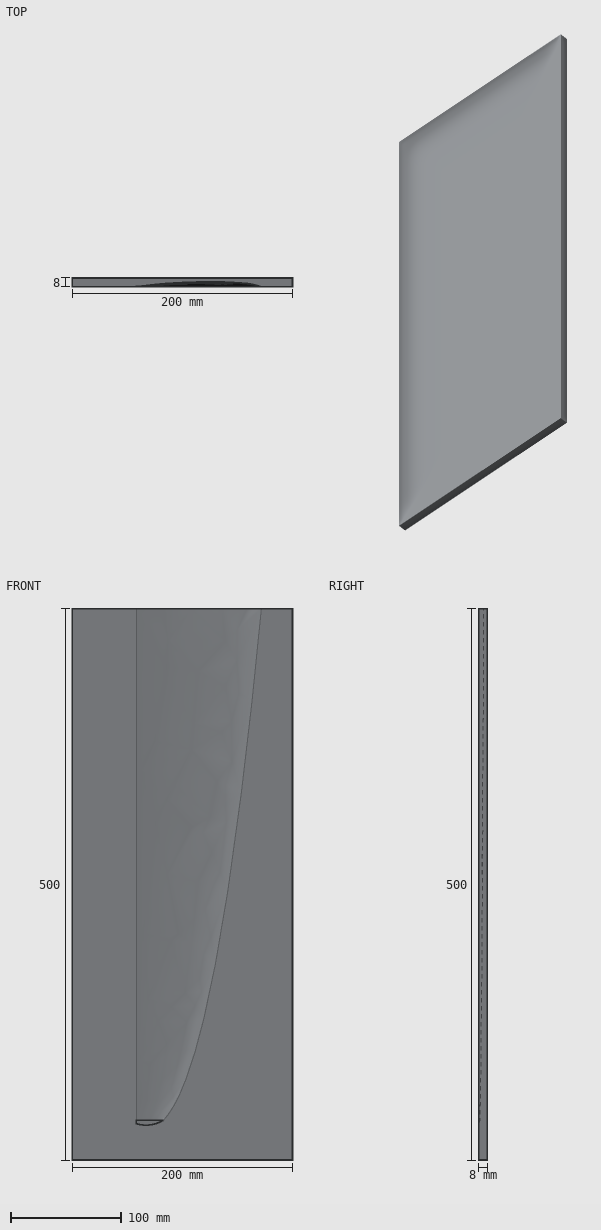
import cadquery as cq

PLATE_WIDTH = 200.0
PLATE_THICKNESS = 8.0
PLATE_HEIGHT = 500.0

STRAIGHT_EDGE_X = 58.2
TIP_Z = 36.0
ROOT_CHORD = 113.2
ROOT_DEPTH = 4.5
CHORD_ORIGIN_Z = 25.5
CHORD_POWER = 0.405

SECTION_SHAPE = [(0.17, 0.52), (0.52, 1.0), (0.8, 0.87), (0.93, 0.5)]

STATION_COUNT = 12
STATION_SPACING_POWER = 1.5

FRONT_OVERSHOOT = 1.0
TOP_OVERSHOOT = 5.0

CAP_CORNER_Z = 33.0
CAP_LOWEST_Z = 31.7
CAP_LOWEST_FRACTION = 0.27
CAP_DEPTH_FRACTION = 0.5


def chord_at(height):
    root_rise = PLATE_HEIGHT - CHORD_ORIGIN_Z
    return ROOT_CHORD * ((height - CHORD_ORIGIN_Z) / root_rise) ** CHORD_POWER


def depth_at(height):
    """Maximum depth of the recess, in proportion to its chord."""
    return ROOT_DEPTH * chord_at(height) / ROOT_CHORD


def station_heights():
    span = PLATE_HEIGHT + TOP_OVERSHOOT - TIP_Z
    steps = STATION_COUNT - 1
    return [TIP_Z + span * (step / steps) ** STATION_SPACING_POWER for step in range(STATION_COUNT)]


def make_plate():
    return cq.Workplane("XY").box(PLATE_WIDTH, PLATE_THICKNESS, PLATE_HEIGHT, centered=False)


def section_wire(height):
    """Closed section of the recess: a curved floor closed by three lines ahead of the front face."""
    chord = chord_at(height)
    depth = depth_at(height)
    start = cq.Vector(STRAIGHT_EDGE_X, 0, height)
    end = cq.Vector(STRAIGHT_EDGE_X + chord, 0, height)
    floor = [
        cq.Vector(STRAIGHT_EDGE_X + along * chord, inward * depth, height)
        for along, inward in SECTION_SHAPE
    ]
    curve = cq.Edge.makeSpline([start, *floor, end])
    outward = cq.Vector(0, -FRONT_OVERSHOOT, 0)
    corners = [end, end + outward, start + outward, start]
    lines = [cq.Edge.makeLine(first, second) for first, second in zip(corners, corners[1:])]
    return cq.Wire.assembleEdges([curve, *lines])


def make_blade_recess():
    wires = [section_wire(height) for height in station_heights()]
    return cq.Workplane(obj=cq.Solid.makeLoft(wires))


def make_tip_cap():
    """Flat-floored pocket with a rounded lower edge that closes the recess at its tip."""
    tip_chord = chord_at(TIP_Z)
    return (
        cq.Workplane("XZ")
        .moveTo(STRAIGHT_EDGE_X, TIP_Z)
        .lineTo(STRAIGHT_EDGE_X, CAP_CORNER_Z)
        .threePointArc(
            (STRAIGHT_EDGE_X + CAP_LOWEST_FRACTION * tip_chord, CAP_LOWEST_Z),
            (STRAIGHT_EDGE_X + tip_chord, TIP_Z),
        )
        .close()
        .extrude(-CAP_DEPTH_FRACTION * depth_at(TIP_Z))
    )


result = make_plate().cut(make_blade_recess()).cut(make_tip_cap())